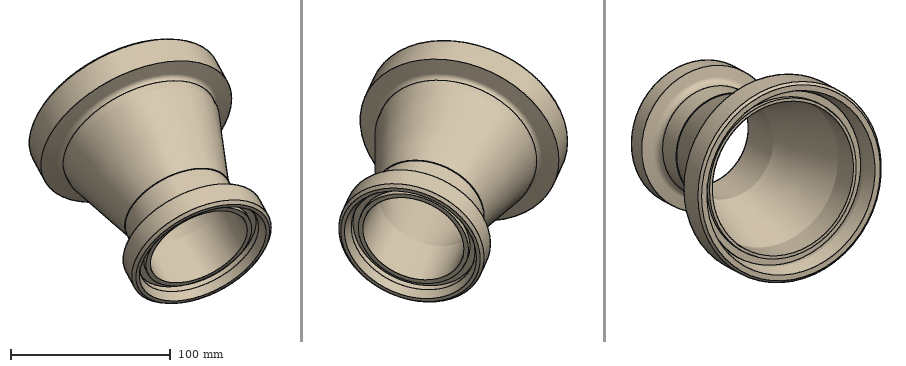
import cadquery as cq

total_length = 124.5

large_tube_outer_radius = 104.0 / 2
large_tube_inner_radius = 100.0 / 2
cone_end_outer_radius = 71.0 / 2
small_tube_outer_radius = 72.0 / 2
bore_radius = 66.0 / 2
cone_start_x = 30.8
cone_end_x = 84.9

web_thickness = 6.2
tube_stand_up = 3.4
recess_straight = 4.0
recess_flare = 2.7
rear_slope = 0.17

large_flange_radius = 130.0 / 2
large_flange_thickness = 20.3
large_recess_radius = 113.8 / 2
large_chamfer = 1.7
large_root_fillet = 3.1

small_flange_radius = 95.0 / 2
small_flange_thickness = 15.7
small_recess_radius = 80.9 / 2
small_chamfer = 2.0
small_root_fillet = 5.0

large_tube_end_x = large_flange_thickness - web_thickness - tube_stand_up
small_tube_end_x = total_length - (small_flange_thickness - web_thickness - tube_stand_up)


def turn(profile):
    """Revolve a closed XY profile about the X axis."""
    return profile.close().revolve(360, (0, 0, 0), (1, 0, 0))


def make_reducer():
    return turn(
        cq.Workplane("XY")
        .moveTo(large_tube_end_x, large_tube_inner_radius)
        .lineTo(large_tube_end_x, large_tube_outer_radius)
        .lineTo(cone_start_x, large_tube_outer_radius)
        .lineTo(cone_end_x, cone_end_outer_radius)
        .lineTo(cone_end_x, small_tube_outer_radius)
        .lineTo(small_tube_end_x, small_tube_outer_radius)
        .lineTo(small_tube_end_x, bore_radius)
        .lineTo(cone_end_x, bore_radius)
        .lineTo(cone_start_x, large_tube_inner_radius)
    )


def make_ferrule(flange_radius, thickness, recess_radius, tube_radius, chamfer, fillet):
    """Ferrule with its mouth at x = 0 and its rear fillet running out on the tube."""
    floor_x = thickness - web_thickness
    slope_length = (1 + rear_slope**2) ** 0.5
    arc_center_radius = tube_radius + fillet
    face_x_at_center = thickness + rear_slope * (flange_radius - arc_center_radius)
    arc_center_x = face_x_at_center + fillet * slope_length
    arc_start = (
        arc_center_x - fillet / slope_length,
        arc_center_radius - fillet * rear_slope / slope_length,
    )
    mid_x = -1 / slope_length
    mid_r = -1 - rear_slope / slope_length
    mid_length = (mid_x**2 + mid_r**2) ** 0.5
    arc_middle = (
        arc_center_x + fillet * mid_x / mid_length,
        arc_center_radius + fillet * mid_r / mid_length,
    )
    return turn(
        cq.Workplane("XY")
        .moveTo(0, recess_radius + recess_flare)
        .lineTo(0, flange_radius - chamfer)
        .lineTo(chamfer, flange_radius)
        .lineTo(thickness, flange_radius)
        .lineTo(*arc_start)
        .threePointArc(arc_middle, (arc_center_x, tube_radius))
        .lineTo(floor_x, tube_radius)
        .lineTo(floor_x, recess_radius)
        .lineTo(floor_x - recess_straight, recess_radius)
    )


reducer = make_reducer()

large_ferrule = make_ferrule(
    large_flange_radius,
    large_flange_thickness,
    large_recess_radius,
    large_tube_outer_radius,
    large_chamfer,
    large_root_fillet,
)

small_ferrule = make_ferrule(
    small_flange_radius,
    small_flange_thickness,
    small_recess_radius,
    small_tube_outer_radius,
    small_chamfer,
    small_root_fillet,
).mirror("YZ").translate((total_length, 0, 0))

result = cq.Compound.makeCompound([reducer.val(), large_ferrule.val(), small_ferrule.val()])